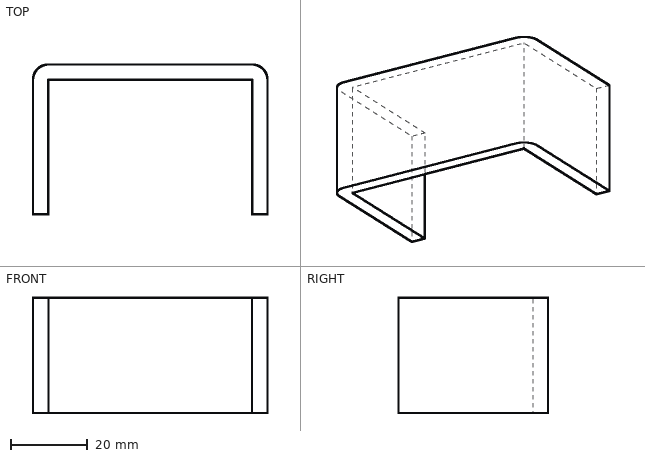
import cadquery as cq

width = 61.0
depth = 39.0
height = 30.0

wall = 4.0
bend_radius = wall

block = (
    cq.Workplane("XY")
    .box(width, depth, height)
    .edges("|Z and >Y")
    .fillet(bend_radius)
)

opening = cq.Workplane("XY").box(width - 2 * wall, depth - wall, height).translate((0, -wall / 2, 0))

result = block.cut(opening)